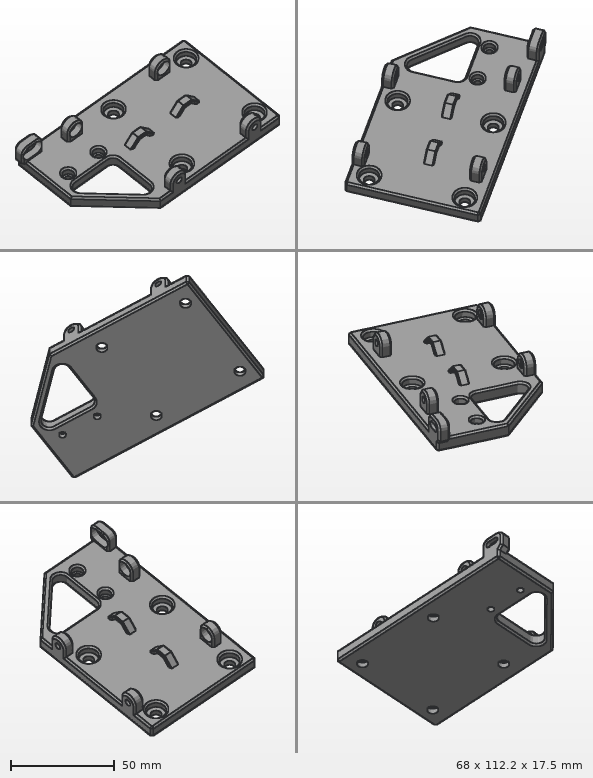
import cadquery as cq
import math

PLATE_WIDTH = 68.0
PLATE_LENGTH = 110.1
PLATE_THICKNESS = 7.0
DIAGONAL_CUT = 30.5
EDGE_CHAMFER = 1.0

BORE_DEPTH = 3.9
LARGE_HOLE_DIAMETER = 5.4
LARGE_BORE_DIAMETER = 10.0
LARGE_HOLE_SPACING = 48.0
LARGE_HOLE_X = 10.0
LARGE_HOLE_BACK_MARGIN = 8.0
SMALL_HOLE_DIAMETER = 3.4
SMALL_BORE_DIAMETER = 6.0
SMALL_HOLE_X = 25.0
SMALL_HOLE_YS = (10.0, 30.0)

WINDOW_LEFT = 31.0
WINDOW_TOP = 34.2
WINDOW_RADIUS = 4.0
WINDOW_WALL = 4.0

LUG_THICKNESS = 6.1
LUG_WIDTH = 10.0
LUG_HOLE_DIAMETER = 3.4
LUG_ROOT = 1.7
LEFT_LUG_X = 4.9
LEFT_LUG_YS = (28.4, 86.4)
LEFT_LUG_TOP = 17.5
RIGHT_LUG_YS = (43.0, 92.9)
RIGHT_LUG_TOP = 16.5
COUNTERSINK_DIAMETER = 4.6
HEAD_RECESS_DIAMETER = 8.1
HEAD_RECESS_DEPTH = 3.9

SLOT_LUG_OVERHANG = 2.1
SLOT_LUG_WIDTH = 13.5
SLOT_LUG_TOP = 16.7
SLOT_LUG_RADIUS = 4.0
SLOT_Z = 11.9
SLOT_TRAVEL = 4.2

BRIDGE_X = 32.5
BRIDGE_YS = (50.0, 80.0)
BRIDGE_WIDTH = 4.9
BRIDGE_FLAT = 5.5
BRIDGE_HEIGHT = 5.0
BRIDGE_THICKNESS = 2.0
BRIDGE_CHAMFER = 0.5


def make_window():
    """Rounded right triangle whose long side runs parallel to the diagonal edge."""
    long_side_offset = PLATE_WIDTH - DIAGONAL_CUT - WINDOW_WALL * math.sqrt(2)
    return (
        cq.Workplane("XY")
        .polyline([
            (WINDOW_LEFT, WINDOW_LEFT - long_side_offset),
            (WINDOW_TOP + long_side_offset, WINDOW_TOP),
            (WINDOW_LEFT, WINDOW_TOP),
        ])
        .close()
        .extrude(PLATE_THICKNESS)
        .edges("|Z")
        .fillet(WINDOW_RADIUS)
    )


def make_plate():
    """Plate with its window, chamfered along all top and bottom edges."""
    blank = (
        cq.Workplane("XY")
        .polyline([
            (0, 0),
            (PLATE_WIDTH - DIAGONAL_CUT, 0),
            (PLATE_WIDTH, DIAGONAL_CUT),
            (PLATE_WIDTH, PLATE_LENGTH),
            (0, PLATE_LENGTH),
        ])
        .close()
        .extrude(PLATE_THICKNESS)
    )
    blank = blank.edges("|Z and (<X or >Y)").chamfer(EDGE_CHAMFER)
    return blank.cut(make_window()).faces("<Z or >Z").chamfer(EDGE_CHAMFER)


def make_bore(x, y, hole_diameter, bore_diameter):
    """Through hole with a counterbore and a chamfered rim, turned about its axis."""
    hole_radius = hole_diameter / 2
    bore_radius = bore_diameter / 2
    floor_z = PLATE_THICKNESS - BORE_DEPTH
    return (
        cq.Workplane("XZ")
        .polyline([
            (0, 0),
            (hole_radius, 0),
            (hole_radius, floor_z),
            (bore_radius, floor_z),
            (bore_radius, PLATE_THICKNESS - EDGE_CHAMFER),
            (bore_radius + EDGE_CHAMFER, PLATE_THICKNESS),
            (0, PLATE_THICKNESS),
        ])
        .close()
        .revolve(360, (0, 0), (0, 1))
        .translate((x, y, 0))
    )


def make_lug(x, y, top):
    """Round-topped lug with a cross hole; its left face is at x."""
    radius = LUG_WIDTH / 2
    axis_z = top - radius
    root_z = PLATE_THICKNESS - LUG_ROOT
    body = (
        cq.Workplane("YZ", origin=(x, y, 0))
        .moveTo(-radius, root_z)
        .lineTo(-radius, axis_z)
        .threePointArc((0, top), (radius, axis_z))
        .lineTo(radius, root_z)
        .close()
        .extrude(LUG_THICKNESS)
        .faces("<X or >X")
        .edges("not <Z")
        .chamfer(EDGE_CHAMFER)
    )
    hole = (
        cq.Workplane("YZ", origin=(x, y, axis_z))
        .circle(LUG_HOLE_DIAMETER / 2)
        .extrude(LUG_THICKNESS)
    )
    return body.cut(hole)


def make_left_lug(y):
    """Lug with a round screw head recess in its right face."""
    recess = (
        cq.Workplane("YZ", origin=(LEFT_LUG_X + LUG_THICKNESS, y, LEFT_LUG_TOP - LUG_WIDTH / 2))
        .circle(HEAD_RECESS_DIAMETER / 2)
        .extrude(-HEAD_RECESS_DEPTH)
    )
    return make_lug(LEFT_LUG_X, y, LEFT_LUG_TOP).cut(recess)


def make_right_lug(y):
    """Lug flush with the right edge, its hole countersunk at 45 degrees in the left face."""
    x = PLATE_WIDTH - LUG_THICKNESS
    outer_radius = COUNTERSINK_DIAMETER / 2
    inner_radius = LUG_HOLE_DIAMETER / 2
    countersink = cq.Solid.makeCone(
        outer_radius,
        inner_radius,
        outer_radius - inner_radius,
        cq.Vector(x, y, RIGHT_LUG_TOP - LUG_WIDTH / 2),
        cq.Vector(1, 0, 0),
    )
    return make_lug(x, y, RIGHT_LUG_TOP).cut(cq.Workplane(countersink))


def make_slot_lug():
    """Corner lug with a slotted hole, flush with the left edge of the plate."""
    front = -SLOT_LUG_OVERHANG
    back = front + SLOT_LUG_WIDTH
    center_y = (front + back) / 2
    body = (
        cq.Workplane("YZ")
        .polyline([
            (front, SLOT_LUG_TOP),
            (front, PLATE_THICKNESS),
            (0, PLATE_THICKNESS - SLOT_LUG_OVERHANG),
            (0, EDGE_CHAMFER),
            (back, EDGE_CHAMFER),
            (back, SLOT_LUG_TOP),
        ])
        .close()
        .extrude(LUG_THICKNESS)
        .edges("|X and >Z")
        .fillet(SLOT_LUG_RADIUS)
        .faces("<X or >X")
        .edges("not <Z")
        .chamfer(EDGE_CHAMFER)
    )
    slot = (
        cq.Workplane("YZ", origin=(0, center_y, SLOT_Z))
        .slot2D(SLOT_TRAVEL + LUG_HOLE_DIAMETER, LUG_HOLE_DIAMETER)
        .extrude(LUG_THICKNESS)
    )
    recess = (
        cq.Workplane("YZ", origin=(LUG_THICKNESS, center_y, SLOT_Z))
        .slot2D(SLOT_TRAVEL + HEAD_RECESS_DIAMETER, HEAD_RECESS_DIAMETER)
        .extrude(-HEAD_RECESS_DEPTH)
    )
    return body.cut(slot).cut(recess)


def make_bridge(y):
    """Thin strap with a flat top and 45 degree legs, chamfered along both sides."""
    top = PLATE_THICKNESS + BRIDGE_HEIGHT
    under = top - BRIDGE_THICKNESS
    root = PLATE_THICKNESS - BRIDGE_THICKNESS
    half_flat = BRIDGE_FLAT / 2
    half_flat_under = half_flat - BRIDGE_THICKNESS * math.tan(math.pi / 8)
    foot = half_flat + top - root
    foot_under = half_flat_under + under - root
    return (
        cq.Workplane("YZ", origin=(BRIDGE_X - BRIDGE_WIDTH / 2, y, 0))
        .polyline([
            (-foot, root),
            (-half_flat, top),
            (half_flat, top),
            (foot, root),
            (foot_under, root),
            (half_flat_under, under),
            (-half_flat_under, under),
            (-foot_under, root),
        ])
        .close()
        .extrude(BRIDGE_WIDTH)
        .faces("<X or >X")
        .chamfer(BRIDGE_CHAMFER)
    )


result = make_plate().union(make_slot_lug())

for y in LEFT_LUG_YS:
    result = result.union(make_left_lug(y))

for y in RIGHT_LUG_YS:
    result = result.union(make_right_lug(y))

for y in BRIDGE_YS:
    result = result.union(make_bridge(y))

large_hole_back_y = PLATE_LENGTH - LARGE_HOLE_BACK_MARGIN
for x in (LARGE_HOLE_X, LARGE_HOLE_X + LARGE_HOLE_SPACING):
    for y in (large_hole_back_y - LARGE_HOLE_SPACING, large_hole_back_y):
        result = result.cut(make_bore(x, y, LARGE_HOLE_DIAMETER, LARGE_BORE_DIAMETER))

for y in SMALL_HOLE_YS:
    result = result.cut(make_bore(SMALL_HOLE_X, y, SMALL_HOLE_DIAMETER, SMALL_BORE_DIAMETER))